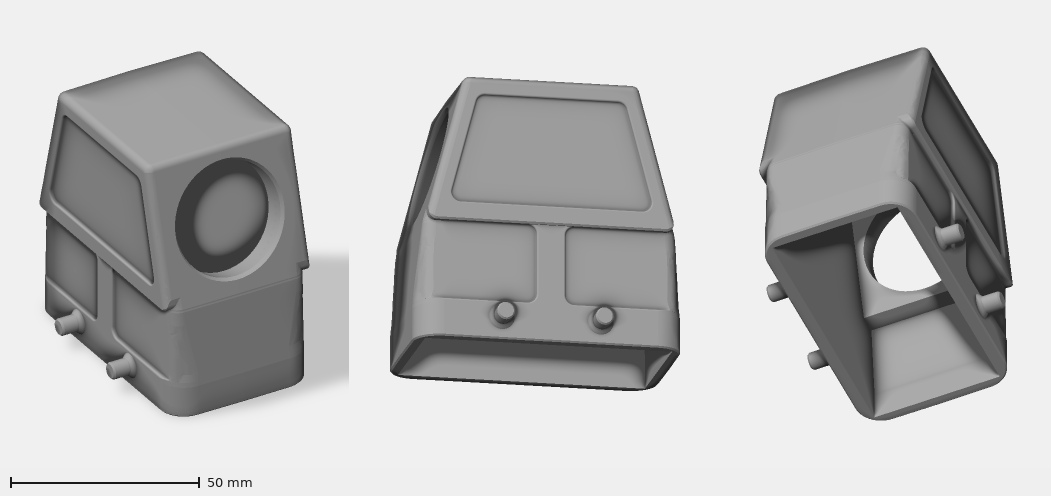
import cadquery as cq
import math

height = 72.0
base_half_x = 36.3
base_half_y = 21.6
base_top_z = 9.1
bottom_edge_bevel = 0.4
base_corner_radius = 7.4
draft_slope = 0.008

waist_z = 31.95
waist_half_x = 34.3
roof_half_x = 23.7
hood_half_y = 22.5
hood_edge_radius = 2.0
lip_bevel = 0.5
waist_bevel = 0.4
waist_bevel_half_x = 34.2
lip_end_half_x = 33.1
lip_corner_radius = 2.2

core_half_y = 20.6
core_corner_radius = 3.35
core_base_half_x = 34.9
core_top_z = 37.75
core_trim = 0.02
blend_low_z = 12.7
blend_low_half_y = 21.35
blend_high_radius = 3.6
blend_high_z = 27.6

panel_depth = base_half_y - core_half_y
panel_wall_round = 0.47
panel_corner_radius = 2.55
panel_low_z = 10.45
rib_half_x = 3.85
upper_panel_low_z = 37.0
upper_panel_high_z = 66.8
upper_panel_margin_x = 5.15

pin_x = 13.35
pin_z = 6.1
pin_diameter = 4.8
pin_tip_diameter = 4.0
pin_tip_y = 27.8
pin_collar_diameter = 7.0
pin_collar_y = 22.9
pin_bevel_length = 0.5

entry_z = 52.3
entry_diameter = 32.0
entry_rim_diameter = 33.6
entry_bevel_depth = 1.15
entry_wall = 7.55

wall = 2.9
cavity_half_y = 18.15

side_run = (waist_half_x - roof_half_x) / (height - waist_z)
side_angle = math.atan(side_run)
skirt_run = (base_half_x - waist_half_x) / (waist_z - base_top_z)


def hood_half_x(z):
    """Half width of the upper, sloping part at height z."""
    return waist_half_x - side_run * (z - waist_z)


def skirt_half_x(z):
    """Half width of the lower part at height z."""
    return base_half_x - skirt_run * max(z - base_top_z, 0)


def plan_section(z, half_x, half_y, radius):
    """Rounded rectangle at height z whose ends are slightly peaked at y = 0."""
    straight_x = half_x - radius
    straight_y = half_y - radius
    end_x = half_x - draft_slope * straight_y
    diagonal = radius * math.sqrt(0.5)
    mid_x = straight_x + diagonal - draft_slope * straight_y
    mid_y = straight_y + diagonal
    return (
        cq.Workplane("XY", origin=(0, 0, z))
        .moveTo(half_x, 0)
        .lineTo(end_x, straight_y)
        .threePointArc((mid_x, mid_y), (straight_x, half_y))
        .lineTo(-straight_x, half_y)
        .threePointArc((-mid_x, mid_y), (-end_x, straight_y))
        .lineTo(-half_x, 0)
        .lineTo(-end_x, -straight_y)
        .threePointArc((-mid_x, -mid_y), (-straight_x, -half_y))
        .lineTo(straight_x, -half_y)
        .threePointArc((mid_x, -mid_y), (end_x, -straight_y))
        .close()
        .wire()
        .val()
    )


def stacked(sections):
    return cq.Workplane(obj=cq.Solid.makeLoft(sections, True))


def both_sides(shape):
    """The shape together with its mirror image across y = 0."""
    return shape.union(shape.mirror("XZ"))


def drafted_hood(low_z, half_y):
    """Sloping block whose sides and roof fall away from the middle plane."""
    low = hood_half_x(low_z)
    drop = draft_slope * half_y
    middle = [(-low, low_z), (low, low_z), (roof_half_x, height), (-roof_half_x, height)]
    outer = [
        (-low + drop, low_z),
        (low - drop, low_z),
        (roof_half_x - drop, height - drop),
        (-roof_half_x + drop, height - drop),
    ]
    front = cq.Workplane("XZ").polyline(middle).close()
    return both_sides(front.workplane(offset=half_y).polyline(outer).close().loft(ruled=True))


def skirt():
    """Lower body: an upright rim, then leaning sides whose corners tighten upwards."""
    sections = [
        (0, base_half_y, base_corner_radius),
        (base_top_z, base_half_y, base_corner_radius),
        (panel_low_z, base_half_y, base_corner_radius),
        (blend_low_z, blend_low_half_y, base_corner_radius),
        (blend_high_z, core_half_y, blend_high_radius),
        (waist_z - waist_bevel, core_half_y, core_corner_radius),
    ]
    rings = [plan_section(z, skirt_half_x(z), half_y, radius) for z, half_y, radius in sections]
    rings.append(plan_section(waist_z, waist_bevel_half_x, core_half_y, core_corner_radius))
    body = stacked(rings[:2]).faces("<Z").edges().chamfer(bottom_edge_bevel)
    for lower, upper in zip(rings[1:], rings[2:]):
        body = body.union(stacked([lower, upper]))
    return body


def raised_faces():
    """Flat front and back slab that the lower panels are sunk into."""
    flat_length = 2 * (base_half_x - base_corner_radius)
    slab = cq.Workplane("XY", origin=(0, 0, base_top_z))
    return slab.rect(flat_length, 2 * base_half_y).extrude(waist_z - base_top_z)


def panel_cut(outline, front_y):
    """Space of a panel sunk into the face y = -front_y, with rounded mouth and floor."""
    front = cq.Workplane("XZ", origin=(0, -front_y, 0))
    stock = front.rect(4 * base_half_x, 4 * height).extrude(-2 * panel_depth)
    pocket = front.placeSketch(outline).extrude(-panel_depth)
    frame = stock.cut(pocket.faces(">Y").edges().fillet(panel_wall_round))
    mouth = frame.faces("<Y").val().innerWires()[0].Edges()
    return stock.cut(frame.newObject(mouth).fillet(panel_wall_round))


def lower_panel_cuts():
    """Left and right panels, open towards the corners, on the front and the back."""
    panel_height = waist_z - panel_low_z
    center = cq.Location(cq.Vector(rib_half_x + base_half_x / 2, panel_low_z + panel_height / 2, 0))
    outline = cq.Sketch().rect(base_half_x, panel_height).vertices().fillet(panel_corner_radius)
    right = panel_cut(outline.moved(center), base_half_y)
    return both_sides(right.union(right.mirror("YZ")))


def upper_panel_cuts():
    """Trapezoid panels on the front and the back of the hood."""
    low_x = hood_half_x(upper_panel_low_z) - upper_panel_margin_x
    high_x = hood_half_x(upper_panel_high_z) - upper_panel_margin_x
    corners = [
        (-low_x, upper_panel_low_z),
        (low_x, upper_panel_low_z),
        (high_x, upper_panel_high_z),
        (-high_x, upper_panel_high_z),
    ]
    outline = cq.Sketch().polygon(corners + corners[:1]).vertices().fillet(panel_corner_radius)
    return both_sides(panel_cut(outline, hood_half_y))


def core():
    """Tight-cornered block behind the lower panels, reaching up into the hood."""
    levels = [
        (panel_low_z, core_base_half_x),
        (waist_z, waist_bevel_half_x),
        (waist_z + waist_bevel, hood_half_x(waist_z + waist_bevel)),
        (core_top_z, hood_half_x(core_top_z) + core_trim),
    ]
    return stacked(
        [plan_section(z, half_x, core_half_y, core_corner_radius) for z, half_x in levels]
    )


def hood_and_core():
    """Sloping upper body whose lip overhangs the panels, joined with the core below it."""
    block = drafted_hood(base_top_z, hood_half_y)
    outer_edges = block.edges().filter(
        lambda edge: edge.Center().z > base_top_z and edge.Center().y != 0
    )
    block = outer_edges.fillet(hood_edge_radius)
    lip_limits = (
        cq.Workplane("XY", origin=(0, 0, waist_z))
        .rect(2 * lip_end_half_x, 2 * hood_half_y)
        .extrude(height - waist_z)
        .edges("|Y and <Z")
        .fillet(lip_corner_radius)
        .faces("<Z")
        .edges("|X")
        .chamfer(lip_bevel)
    )
    return block.intersect(lip_limits.union(core()))


def cavity():
    """Interior that follows the outer profile and is open at the bottom."""
    roof_z = height - wall
    low_x = base_half_x - wall
    waist_x = waist_half_x - wall
    entry_offset = entry_wall / math.cos(side_angle)
    profile = [
        (-low_x, 0),
        (low_x, 0),
        (low_x, base_top_z),
        (waist_x, waist_z),
        (hood_half_x(waist_z) - entry_offset, waist_z),
        (hood_half_x(roof_z) - entry_offset, roof_z),
        (wall - hood_half_x(roof_z), roof_z),
        (-waist_x, waist_z),
        (-low_x, base_top_z),
    ]
    return cq.Workplane("XZ").polyline(profile).close().extrude(cavity_half_y, both=True)


def cable_entry():
    """Hole square to the sloping +X side, with a bevelled rim."""
    flare = (entry_rim_diameter - entry_diameter) / 2
    inward = cq.Vector(-math.cos(side_angle), 0, -math.sin(side_angle))
    center = cq.Vector(hood_half_x(entry_z), 0, entry_z)
    start = center - inward * entry_bevel_depth
    hole_length = entry_wall + 2 * entry_bevel_depth
    hole = cq.Solid.makeCylinder(entry_diameter / 2, hole_length, start, inward)
    outer_radius = entry_rim_diameter / 2 + flare
    rim = cq.Solid.makeCone(outer_radius, entry_diameter / 2, 2 * entry_bevel_depth, start, inward)
    return cq.Workplane(obj=hole).union(cq.Workplane(obj=rim))


def pins():
    """Four locking pins, each with a conical collar and a bevelled tip."""
    profile = [
        (0, core_half_y),
        (pin_collar_diameter / 2, core_half_y),
        (pin_collar_diameter / 2, base_half_y),
        (pin_diameter / 2, pin_collar_y),
        (pin_diameter / 2, pin_tip_y - pin_bevel_length),
        (pin_tip_diameter / 2, pin_tip_y),
        (0, pin_tip_y),
    ]
    pin = cq.Workplane("XY").polyline(profile).close().revolve(360, (0, 0), (0, 1))
    right = pin.translate((pin_x, 0, pin_z))
    return both_sides(right.union(right.mirror("YZ")))


body = skirt().union(raised_faces()).cut(lower_panel_cuts())
body = body.union(hood_and_core().cut(upper_panel_cuts()))
body = body.cut(cavity()).cut(cable_entry())
result = body.union(pins())